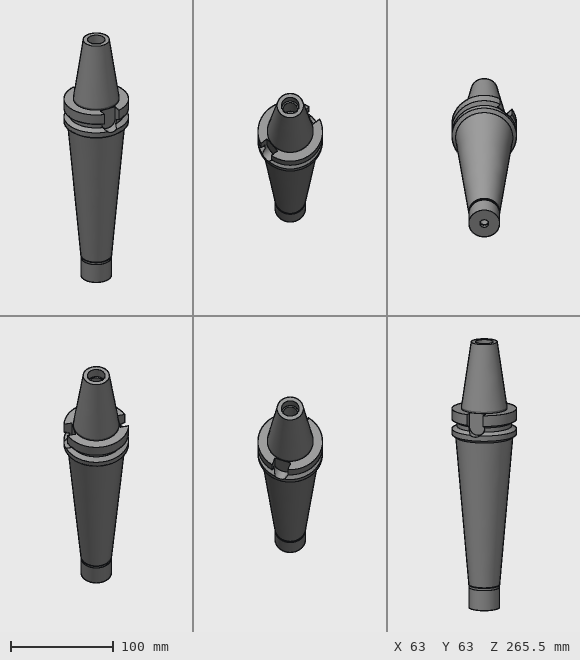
import cadquery as cq

total_height = 265.5
taper_end_z = 200.0
flange_top_z = 198.8
flange_thickness = 25.5
groove_top_z = 188.2
groove_bottom_z = 178.5
groove_flank_height = 2.7
flange_chamfer = 2.7
nose_end_z = 23.0
nut_height = 22.3

shank_taper = 7 / 24
shank_end_radius = 22.3
flange_diameter = 63.0
groove_radius = 26.5
nose_start_radius = 27.9
nose_end_radius = 15.0
nut_diameter = 30.0

slot_width = 16.2
slot_floor = 22.5
slot_bottom_z = 177.0

pilot_radius = 8.5
pilot_depth = 9.5
thread_radius = 7.0
thread_depth = 31.8
bore_radius = 5.0

spigot_radius = 11.1
nut_floor = 5.3
nut_opening_radius = 4.2
nut_rim_height = 2.0
nut_rim_step = 0.13

flange_radius = flange_diameter / 2
nut_radius = nut_diameter / 2
shank_top_radius = shank_end_radius - (total_height - taper_end_z) * shank_taper / 2
flange_bottom_z = flange_top_z - flange_thickness


def cylinder(radius, bottom_z, top_z):
    return cq.Workplane("XY").workplane(offset=bottom_z).circle(radius).extrude(top_z - bottom_z)


def holder_blank():
    """Turned outside of the holder: spigot, nose, grooved flange and taper shank."""
    profile = [
        (0, nut_floor),
        (spigot_radius, nut_floor),
        (spigot_radius, nose_end_z),
        (nose_end_radius, nose_end_z),
        (nose_start_radius, flange_bottom_z - flange_chamfer),
        (flange_radius, flange_bottom_z),
        (flange_radius, groove_bottom_z),
        (groove_radius, groove_bottom_z + groove_flank_height),
        (groove_radius, groove_top_z - groove_flank_height),
        (flange_radius, groove_top_z),
        (flange_radius, flange_top_z),
        (shank_end_radius, flange_top_z),
        (shank_end_radius, taper_end_z),
        (shank_top_radius, total_height),
        (0, total_height),
    ]
    return cq.Workplane("YZ").polyline(profile).close().revolve(360, (0, 0), (0, 1))


def drive_slot(side):
    """Round-bottomed slot cutter outside the slot floor; side is +1 or -1 along X."""
    half_width = slot_width / 2
    arc_center_z = slot_bottom_z + half_width
    return (
        cq.Workplane("YZ", origin=(side * slot_floor, 0, 0))
        .moveTo(-half_width, flange_top_z)
        .lineTo(-half_width, arc_center_z)
        .threePointArc((0, slot_bottom_z), (half_width, arc_center_z))
        .lineTo(half_width, flange_top_z)
        .close()
        .extrude(side * flange_radius)
    )


def make_holder():
    holder = holder_blank()
    for side in (-1, 1):
        holder = holder.cut(drive_slot(side))
    holder = holder.cut(cylinder(bore_radius, nut_floor, total_height))
    holder = holder.cut(cylinder(thread_radius, total_height - thread_depth, total_height))
    return holder.cut(cylinder(pilot_radius, total_height - pilot_depth, total_height))


def make_nut():
    """Clamping nut: a cup around the spigot with an opening through its floor."""
    rim_z = nut_height - nut_rim_height
    nut = cylinder(nut_radius, 0, rim_z)
    nut = nut.union(cylinder(nut_radius - nut_rim_step, rim_z, nut_height))
    nut = nut.cut(cylinder(spigot_radius, nut_floor, nut_height))
    return nut.cut(cylinder(nut_opening_radius, 0, nut_floor))


holder = make_holder()
nut = make_nut()

result = cq.Compound.makeCompound([holder.val(), nut.val()])